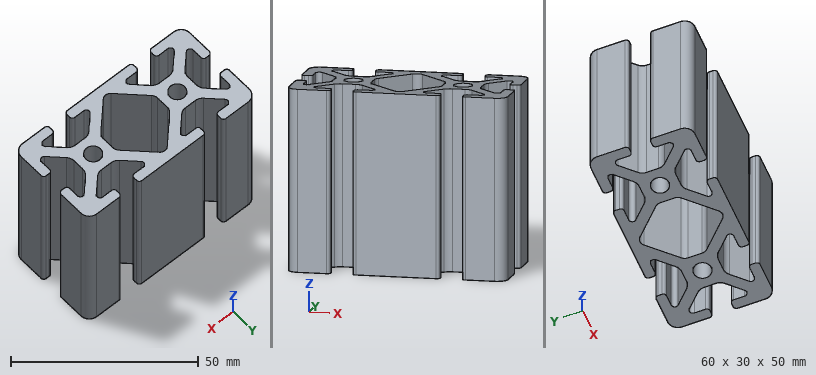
import cadquery as cq

cell = 30.0
cell_count = 2
length = 50.0
width = cell * cell_count
half_cell = cell / 2
corner_radius = 3.0

slot_opening = 6.2
lip_thickness = 3.0
lip_radius = 0.95
core_half = 5.3
floor_half = 3.0
floor_radius = 3.0
tip_radius = 1.0

bore_diameter = 5.1
cavity_half_width = width / 2 - half_cell - core_half
cavity_reach = 12.7
cavity_side_radius = 2.4
cavity_apex_radius = 2.0


def rounded_at(solid, points, radius):
    """Round the vertical edges that pass through the given XY points."""
    tolerance = 0.005
    for x, y in points:
        solid = solid.edges(
            cq.selectors.BoxSelector(
                (x - tolerance, y - tolerance, -length),
                (x + tolerance, y + tolerance, length),
            )
        ).fillet(radius)
    return solid


def mirrored(points):
    """Add the mirror image about the Y axis, keeping the outline order."""
    return points + [(-x, y) for x, y in reversed(points)]


def prism(points):
    """Full-length bar with the given outline, centred on Z = 0."""
    return cq.Workplane("XY").polyline(points).close().extrude(length / 2, both=True)


def slot_cutter():
    """T-slot void opening toward +Y, measured from the cell axis."""
    pocket_top = half_cell - lip_thickness
    tip_half = floor_half + pocket_top - core_half
    floor_corner = (floor_half, core_half)
    tip = (tip_half, pocket_top)
    pocket = prism(mirrored([floor_corner, tip]))
    pocket = rounded_at(pocket, mirrored([floor_corner]), floor_radius)
    pocket = rounded_at(pocket, mirrored([tip]), tip_radius)
    mouth = (
        cq.Workplane("XY")
        .center(0, half_cell - lip_thickness / 2)
        .rect(slot_opening, lip_thickness)
        .extrude(length / 2, both=True)
    )
    return pocket.union(mouth)


def cavity_cutter():
    """Diamond between the two cells with its left and right corners cut flat."""
    side = (cavity_half_width, cavity_reach - cavity_half_width)
    apex = (0, cavity_reach)
    outline = [
        apex,
        side,
        (side[0], -side[1]),
        (0, -cavity_reach),
        (-side[0], -side[1]),
        (-side[0], side[1]),
    ]
    cavity = prism(outline)
    sides = [point for point in outline if point[0] != 0]
    apexes = [point for point in outline if point[0] == 0]
    cavity = rounded_at(cavity, sides, cavity_side_radius)
    return rounded_at(cavity, apexes, cavity_apex_radius)


def add_slot(solid, cutter, cell_x, angle):
    """Cut a slot into a cell, turned by angle from +Y, and round its lip edges."""
    lip_half = slot_opening / 2
    lip_edges = mirrored([(lip_half, half_cell), (lip_half, half_cell - lip_thickness)])
    solid = solid.translate((-cell_x, 0, 0)).rotate((0, 0, 0), (0, 0, 1), -angle)
    solid = rounded_at(solid.cut(cutter), lip_edges, lip_radius)
    return solid.rotate((0, 0, 0), (0, 0, 1), angle).translate((cell_x, 0, 0))


body = cq.Workplane("XY").box(width, cell, length).edges("|Z").fillet(corner_radius)

left_cell, right_cell = -half_cell, half_cell
slots = [(cell_x, angle) for cell_x in (left_cell, right_cell) for angle in (0, 180)]
slots += [(left_cell, 90), (right_cell, -90)]
slot = slot_cutter()
for cell_x, angle in slots:
    body = add_slot(body, slot, cell_x, angle)

body = body.cut(cavity_cutter())

bores = (
    cq.Workplane("XY")
    .pushPoints([(left_cell, 0), (right_cell, 0)])
    .circle(bore_diameter / 2)
    .extrude(length / 2, both=True)
)
result = body.cut(bores)